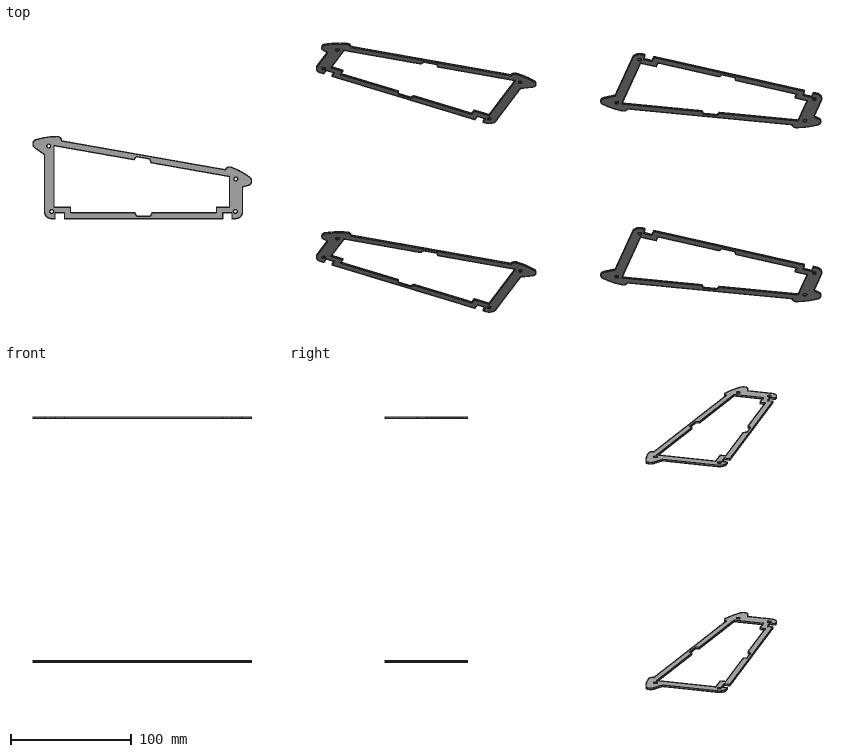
import cadquery as cq
import math

TOTAL_HEIGHT = 203.0
TOTAL_WIDTH = 181.0
PLATE_THICKNESS = 1.5

FRAME_WIDTH = 164.0
SLOPE = math.radians(10.0)
SLOPE_CENTER_HEIGHT = 52.5
CORNER_RADIUS = 6.0
MID_X = FRAME_WIDTH / 2
SLOPE_RISE = MID_X * math.tan(SLOPE)

LEFT_WALL = 8.1
RIGHT_WALL = 11.0
BAR_WIDTH = 5.0
LEDGE_HEIGHT = 9.7
LEDGE_END = 21.7

RECESS_DEPTH = 2.8
RECESS_MOUTH = 14.2
RECESS_FLOOR = 11.4

NOTCH_START = 9.0
NOTCH_WIDTH = 7.5
NOTCH_HEIGHT = 4.9

LOBE_RADIUS = 3.9
LOBE_SHOULDER = (72.5, -0.8)
LOBE_TIP_ALONG = (TOTAL_WIDTH / 2 - LOBE_RADIUS) / math.cos(SLOPE)
LOBE_TIP_DROP = 6.0
LOBE_TIP = (LOBE_TIP_ALONG, -LOBE_TIP_DROP)
LOBE_BACK_MIDDLE = (81.6, 0.8)
LOBE_TIP_ANGLE = 65.0
LOBE_ROOT_LENGTH = 12.2

HOLE_DIAMETER = 3.0
LOWER_HOLE_INSET = CORNER_RADIUS
UPPER_HOLE_ALONG = 78.5
UPPER_HOLE_DEPTH = 6.0


def on_slope(along, across):
    """Point given along the sloping bar from mid-width, and across its outer edge."""
    x = MID_X + along * math.cos(SLOPE) + across * math.sin(SLOPE)
    y = SLOPE_CENTER_HEIGHT - along * math.sin(SLOPE) + across * math.cos(SLOPE)
    return (x, y)


def on_circle(center, angle):
    """Point of a lobe rounding in the given direction."""
    direction = math.radians(angle)
    return (
        center[0] + LOBE_RADIUS * math.cos(direction),
        center[1] + LOBE_RADIUS * math.sin(direction),
    )


def extrude_polygon(points):
    return cq.Workplane("XY").polyline(points).close().extrude(PLATE_THICKNESS)


def make_blank():
    """Four-sided plate with rounded lower corners."""
    blank = extrude_polygon([
        (0, 0),
        (FRAME_WIDTH, 0),
        (FRAME_WIDTH, SLOPE_CENTER_HEIGHT - SLOPE_RISE),
        (0, SLOPE_CENTER_HEIGHT + SLOPE_RISE),
    ])
    return blank.faces("<Y").edges("|Z").fillet(CORNER_RADIUS)


def make_lobe(side):
    """Lobe at one end of the sloping bar; side is -1 for left and 1 for right."""

    def place(point):
        return on_slope(side * point[0], point[1])

    tip_bottom = on_circle(LOBE_TIP, -LOBE_TIP_ANGLE)
    underside = math.radians(90 - LOBE_TIP_ANGLE)
    root = (
        tip_bottom[0] - LOBE_ROOT_LENGTH * math.cos(underside),
        tip_bottom[1] - LOBE_ROOT_LENGTH * math.sin(underside),
    )
    return (
        cq.Workplane("XY")
        .moveTo(*place(on_circle(LOBE_SHOULDER, 180)))
        .threePointArc(place(on_circle(LOBE_SHOULDER, 135)), place(on_circle(LOBE_SHOULDER, 90)))
        .threePointArc(place(LOBE_BACK_MIDDLE), place(on_circle(LOBE_TIP, LOBE_TIP_ANGLE)))
        .threePointArc(place(on_circle(LOBE_TIP, 0)), place(tip_bottom))
        .lineTo(*place(root))
        .close()
        .extrude(PLATE_THICKNESS)
    )


def make_window():
    """Opening between the bars, stepped up over a ledge at each lower corner."""
    left = LEFT_WALL
    right = FRAME_WIDTH - RIGHT_WALL
    ceiling = SLOPE_CENTER_HEIGHT - BAR_WIDTH / math.cos(SLOPE)
    return extrude_polygon([
        (left, LEDGE_HEIGHT),
        (LEDGE_END, LEDGE_HEIGHT),
        (LEDGE_END, BAR_WIDTH),
        (FRAME_WIDTH - LEDGE_END, BAR_WIDTH),
        (FRAME_WIDTH - LEDGE_END, LEDGE_HEIGHT),
        (right, LEDGE_HEIGHT),
        (right, ceiling - (right - MID_X) * math.tan(SLOPE)),
        (left, ceiling + (MID_X - left) * math.tan(SLOPE)),
    ])


def recess_profile(mouth_level, floor_level):
    """Trapezoid centered at zero, from its wide mouth to its narrow floor."""
    return [
        (-RECESS_MOUTH / 2, mouth_level),
        (RECESS_MOUTH / 2, mouth_level),
        (RECESS_FLOOR / 2, floor_level),
        (-RECESS_FLOOR / 2, floor_level),
    ]


def make_recesses():
    """Middle recesses of the bottom bar and of the sloping bar."""
    bottom = [(MID_X + x, y) for x, y in recess_profile(BAR_WIDTH, BAR_WIDTH - RECESS_DEPTH)]
    sloping = [on_slope(*point) for point in recess_profile(-BAR_WIDTH, RECESS_DEPTH - BAR_WIDTH)]
    return [extrude_polygon(bottom), extrude_polygon(sloping)]


def make_notches():
    centers = [NOTCH_START + NOTCH_WIDTH / 2, FRAME_WIDTH - NOTCH_START - NOTCH_WIDTH / 2]
    return (
        cq.Workplane("XY")
        .pushPoints([(x, NOTCH_HEIGHT / 2) for x in centers])
        .rect(NOTCH_WIDTH, NOTCH_HEIGHT)
        .extrude(PLATE_THICKNESS)
    )


def make_holes():
    centers = [
        (LOWER_HOLE_INSET, LOWER_HOLE_INSET),
        (FRAME_WIDTH - LOWER_HOLE_INSET, LOWER_HOLE_INSET),
        on_slope(-UPPER_HOLE_ALONG, -UPPER_HOLE_DEPTH),
        on_slope(UPPER_HOLE_ALONG, -UPPER_HOLE_DEPTH),
    ]
    return cq.Workplane("XY").pushPoints(centers).circle(HOLE_DIAMETER / 2).extrude(PLATE_THICKNESS)


def make_plate(bottom_height):
    """One complete frame plate with its underside at the given height."""
    plate = make_blank()
    for side in (-1, 1):
        plate = plate.union(make_lobe(side))
    for cutter in [make_window(), *make_recesses(), make_notches(), make_holes()]:
        plate = plate.cut(cutter)
    return plate.translate((0, 0, bottom_height))


plates = [make_plate(height) for height in (0, TOTAL_HEIGHT - PLATE_THICKNESS)]

result = cq.Compound.makeCompound([plate.val() for plate in plates])